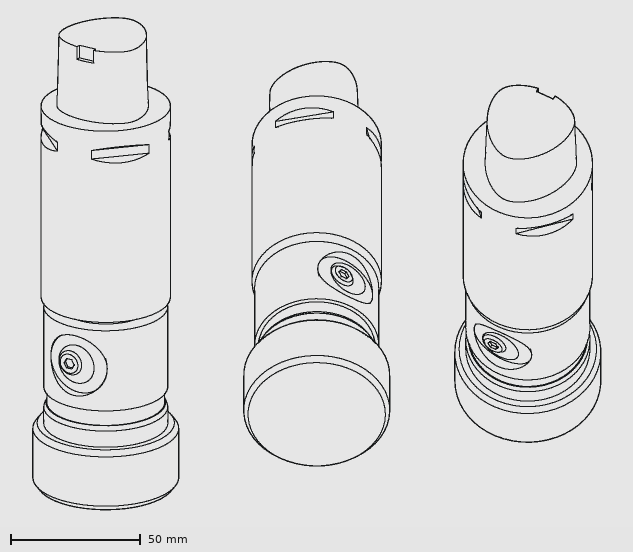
import cadquery as cq
import math

nut_chamfer = 2.3
nut_top = 25.2
collar_cylinder_top = 32.0
collar_top = 33.8
waist_top = 39.0
head_bottom = 40.5
head_top = 74.0
body_bottom = 78.0
body_top = 158.3
total_height = 188.0

nut_radius = 56.4 / 2
nut_face_radius = 26.5
head_radius = 48.0 / 2
collar_rim_radius = 23.1
waist_radius = 45.5 / 2
waist_undercut_radius = 22.4
neck_radius = 34.5 / 2
body_radius = 50.0 / 2

shank_base_radius = 17.7
shank_taper = 1 / 40
lobe_height = 1.18
lobe_count = 3
lobe_direction = math.radians(90)

notch_width = 7.3
notch_depth = 5.3
notch_floor_y = -14.0

slot_center_z = 148.1
slot_floor_height = 3.5
slot_floor_distance = 22.2
slot_wall_angle = math.radians(30)
slot_count = 4
first_slot_angle = 45

dial_z = 58.0
dial_pocket_radius = 12.6
dial_face_radius = 7.9
dial_face_distance = 22.4
dial_rim_distance = 20.3

screw_offset = 2.6
screw_base_radius = 10.0 / 2
screw_top_radius = 4.0
screw_top_distance = 23.5
socket_sides = 6
socket_width = 4.5
socket_depth = 1.1


def turned_body():
    profile = [
        (0, 0),
        (nut_face_radius, 0),
        (nut_radius, nut_chamfer),
        (nut_radius, nut_top - nut_chamfer),
        (nut_face_radius, nut_top),
        (head_radius, nut_top),
        (head_radius, collar_cylinder_top),
        (collar_rim_radius, collar_top),
        (waist_radius, collar_top),
        (waist_radius, waist_top),
        (waist_undercut_radius, head_bottom),
        (head_radius, head_bottom),
        (head_radius, head_top),
        (neck_radius, head_top),
        (neck_radius, body_bottom),
        (body_radius, body_bottom),
        (body_radius, body_top),
        (0, body_top),
    ]
    return cq.Workplane("XZ").polyline(profile).close().revolve(360, (0, 0), (0, 1))


def lobed_outline(mean_radius, z):
    """Smooth curve whose tangents lie mean_radius +/- lobe_height from the axis."""

    def point(angle):
        phase = lobe_count * (angle - lobe_direction)
        reach = mean_radius + lobe_height * math.cos(phase)
        slide = -lobe_count * lobe_height * math.sin(phase)
        return cq.Vector(
            reach * math.cos(angle) - slide * math.sin(angle),
            reach * math.sin(angle) + slide * math.cos(angle),
            z,
        )

    point_count = 36
    points = [point(2 * math.pi * i / point_count) for i in range(point_count)]
    return cq.Wire.assembleEdges([cq.Edge.makeSpline(points, periodic=True)])


def shank():
    top_radius = shank_base_radius - shank_taper * (total_height - body_top)
    base = lobed_outline(shank_base_radius, body_top)
    top = lobed_outline(top_radius, total_height)
    taper = cq.Workplane(cq.Solid.makeLoft([base, top], True))
    notch = (
        cq.Workplane("XY")
        .box(notch_width, shank_base_radius, notch_depth, centered=(True, False, False))
        .translate((0, notch_floor_y - shank_base_radius, total_height - notch_depth))
    )
    return taper.cut(notch)


def gripper_slot(angle):
    """Straight slot with a flat floor and walls that flare outward."""
    flare = (body_radius - slot_floor_distance) * math.tan(slot_wall_angle)
    floor_half = slot_floor_height / 2
    mouth_half = floor_half + flare
    section = [
        (slot_floor_distance, slot_center_z - floor_half),
        (body_radius, slot_center_z - mouth_half),
        (body_radius, slot_center_z + mouth_half),
        (slot_floor_distance, slot_center_z + floor_half),
    ]
    slot = cq.Workplane("XZ").polyline(section).close().extrude(body_radius, both=True)
    return slot.rotate((0, 0, 0), (0, 0, 1), angle)


def side_plane(distance, x=0.0):
    """Plane facing -Y at the given distance from the axis, at dial height."""
    return cq.Workplane(cq.Plane((x, -distance, dial_z), (1, 0, 0), (0, -1, 0)))


def truncated_cone(base_radius, top_radius, base_distance, top_distance, x=0.0):
    cone = cq.Solid.makeCone(
        base_radius,
        top_radius,
        top_distance - base_distance,
        cq.Vector(x, -base_distance, dial_z),
        cq.Vector(0, -1, 0),
    )
    return cq.Workplane(cone)


def dial_pocket():
    """Round recess from the dial rim outward, around the raised dial cone."""
    recess = side_plane(dial_rim_distance).circle(dial_pocket_radius).extrude(head_radius - dial_rim_distance)
    dial = truncated_cone(dial_pocket_radius, dial_face_radius, dial_rim_distance, dial_face_distance)
    return recess.cut(dial)


def dial_screw():
    screw = truncated_cone(
        screw_base_radius, screw_top_radius, dial_face_distance, screw_top_distance, -screw_offset
    )
    socket_plane = side_plane(screw_top_distance, -screw_offset)
    socket = socket_plane.polygon(socket_sides, socket_width).extrude(-socket_depth)
    return screw.cut(socket)


result = turned_body().union(shank())

for i in range(slot_count):
    result = result.cut(gripper_slot(first_slot_angle + i * 360 / slot_count))

for angle in (0, 180):
    result = result.cut(dial_pocket().rotate((0, 0, 0), (0, 0, 1), angle))
    result = result.union(dial_screw().rotate((0, 0, 0), (0, 0, 1), angle))